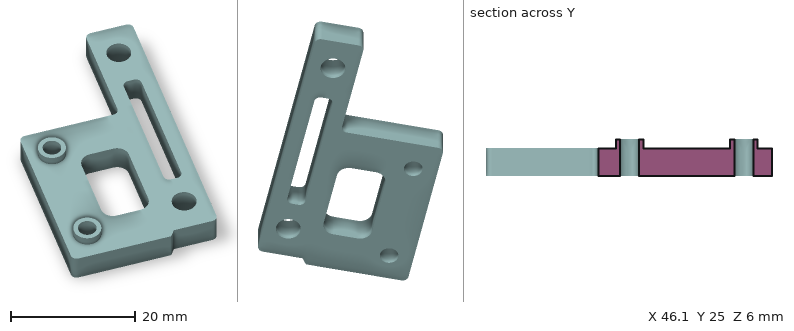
import cadquery as cq

length = 46.1
depth = 25.0
thickness = 4.5
arm_width = 7.97
foot_left = 18.0
corner_radius = 0.95

step_inset = 1.1
shoulder_top = 17.45
shoulder_bottom = 16.7
shoulder_radius = 0.28

arm_hole_diameter = 4.0
arm_hole_first_x = 5.5
arm_hole_spacing = 34.0

slot_length = 22.5
slot_width = 3.0
slot_center_x = 23.05
slot_radius = 0.95

window_length = 14.0
window_width = 7.97
window_center_x = 32.1
window_center_y = 11.7
window_radius = 2.0

total_height = 6.0
boss_diameter = 4.5
boss_bore = 3.0
boss_first_x = 23.1
boss_spacing = 18.4
boss_y = 3.95

arm_front = depth - arm_width
arm_center_y = depth - arm_width / 2
arm_right = length - step_inset
arm_holes = [(arm_hole_first_x + i * arm_hole_spacing, arm_center_y) for i in range(2)]
bosses = [(boss_first_x + i * boss_spacing, boss_y) for i in range(2)]


def rounded_window(center_x, center_y, size_x, size_y, radius):
    """Solid block with rounded upright edges that cuts through the plate."""
    block = cq.Workplane("XY").center(center_x, center_y).rect(size_x, size_y)
    return block.extrude(thickness).edges("|Z").fillet(radius)


def upright_edge(x, y):
    """Selector for the upright edge of the plate at a given corner."""
    return cq.selectors.NearestToPointSelector((x, y, thickness / 2))


rounded_corners = [
    (foot_left, 0),
    (length, 0),
    (arm_right, depth),
    (0, depth),
    (0, arm_front),
    (foot_left, arm_front),
]
shoulder_corners = [(length, shoulder_bottom), (arm_right, shoulder_top)]
outline = rounded_corners[:2] + shoulder_corners + rounded_corners[2:]
plate = cq.Workplane("XY").polyline(outline).close().extrude(thickness)
for x, y in rounded_corners:
    plate = plate.edges(upright_edge(x, y)).fillet(corner_radius)
for x, y in shoulder_corners:
    plate = plate.edges(upright_edge(x, y)).fillet(shoulder_radius)

hole_cutters = cq.Workplane("XY").pushPoints(arm_holes).circle(arm_hole_diameter / 2).extrude(thickness)
slot = rounded_window(slot_center_x, arm_center_y, slot_length, slot_width, slot_radius)
window = rounded_window(window_center_x, window_center_y, window_length, window_width, window_radius)
plate = plate.cut(hole_cutters).cut(slot).cut(window)

boss_bodies = cq.Workplane("XY").pushPoints(bosses).circle(boss_diameter / 2).extrude(total_height)
bores = cq.Workplane("XY").pushPoints(bosses).circle(boss_bore / 2).extrude(total_height)
result = plate.union(boss_bodies).cut(bores)